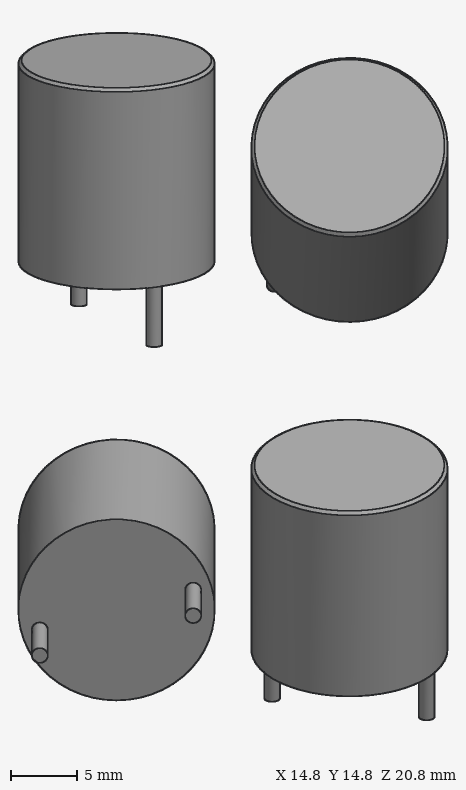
import cadquery as cq

total_height = 20.8
body_diameter = 14.8
top_chamfer = 0.25

pin_diameter = 1.2
pin_spacing = 12.0
pin_length = 5.0

body_height = total_height - pin_length


def make_body():
    """Upright cylinder standing on Z = 0 with a chamfered top rim."""
    body = cq.Workplane("XY").circle(body_diameter / 2).extrude(body_height)
    return body.faces(">Z").edges().chamfer(top_chamfer)


def make_pins():
    """Pair of straight pins hanging from the underside of the body."""
    pin_centres = [(-pin_spacing / 2, 0), (pin_spacing / 2, 0)]
    return cq.Workplane("XY").pushPoints(pin_centres).circle(pin_diameter / 2).extrude(-pin_length)


result = make_body().union(make_pins())